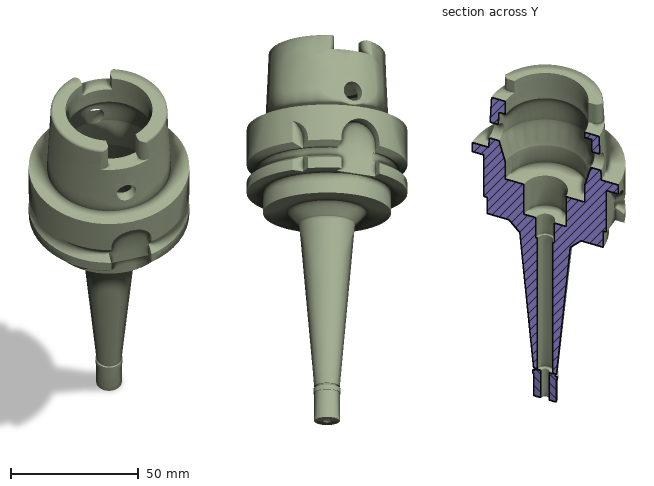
import cadquery as cq
import math


total_height = 152.0
shank_length = 31.9
flange_thickness = 26.0
hub_height = 8.2
cone_height = 4.9
nose_height = 14.1

flange_top = total_height - shank_length
flange_bottom = flange_top - flange_thickness
hub_bottom = flange_bottom - hub_height
neck_top = hub_bottom - cone_height

shank_tip_radius = 22.8
shank_base_radius = 24.3
flange_radius = 31.5
hub_radius = 25.1
cone_top_radius = 15.5
neck_top_radius = 11.0
neck_bottom_radius = 5.0

groove_radius = 27.4
groove_width = 3.6
groove_bottom = flange_bottom + 6.1
groove_top = groove_bottom + groove_width
groove_chamfer_depth = 3.0
groove_chamfer_height = groove_chamfer_depth * math.tan(math.radians(30))

mouth_radius = 17.0
mouth_depth = 12.9
chamber_radius = 19.9
chamber_depth = 26.1
chamber_cone_angle = 15
socket_depth = 45.6
chamber_cone_height = (chamber_radius - mouth_radius) / math.tan(math.radians(chamber_cone_angle))
chamber_bottom = total_height - chamber_depth
socket_floor = total_height - socket_depth

recess_radius = 9.0
recess_depth = 15.2
upper_bore_radius = 4.0
lower_bore_radius = 3.2

drive_slot_width = 12.2
shallow_slot_depth = 6.1
deep_slot_depth = 10.0
lug_corner_radius = 2.6
lug_face = 21.0
rim_fillet = 1.0

cross_hole_radius = 4.0
cross_hole_depth = 23.1

keyway_radius = 8.2
keyway_top_gap = 4.9
keyway_floor = 26.5
keyway_arc_height = flange_top - keyway_top_gap - keyway_radius
notch_floor = 19.9
notch_edge = 19.9

sleeve_radius = 5.0
sleeve_bore_radius = 1.7
ring_radius = 5.3
ring_bottom = 11.4
ring_top = 13.2
nose_neck_radius = 4.5


def revolve_profile(points):
    """Solid of revolution about Z from (radius, height) points."""
    return cq.Workplane("XZ").polyline(points).close().revolve(360, (0, 0, 0), (0, 1, 0))


def cylinder(radius, bottom, top):
    """Cylinder on the Z axis between two heights."""
    return cq.Workplane("XY").workplane(offset=bottom).circle(radius).extrude(top - bottom)


def holder_blank():
    """Solid turned outline of the holder, with the gripper groove."""
    chamfered_radius = flange_radius - groove_chamfer_depth
    return revolve_profile([
        (0, nose_height),
        (neck_bottom_radius, nose_height),
        (neck_top_radius, neck_top),
        (cone_top_radius, hub_bottom),
        (hub_radius, hub_bottom),
        (hub_radius, flange_bottom),
        (flange_radius, flange_bottom),
        (flange_radius, groove_bottom - groove_chamfer_height),
        (chamfered_radius, groove_bottom),
        (groove_radius, groove_bottom),
        (groove_radius, groove_top),
        (chamfered_radius, groove_top),
        (flange_radius, groove_top + groove_chamfer_height),
        (flange_radius, flange_top),
        (shank_base_radius, flange_top),
        (shank_tip_radius, total_height),
        (0, total_height),
    ])


def drive_slot(depth):
    """Slot cutter through the rim on the +X side, flaring out around the rounded lug corners."""
    half_width = drive_slot_width / 2
    arc_start = lug_face - lug_corner_radius
    arc_end = half_width + lug_corner_radius
    arc_offset = lug_corner_radius * (1 - math.sqrt(0.5))
    arc_middle = (lug_face - arc_offset, half_width + arc_offset)
    return (
        cq.Workplane("XY", origin=(0, 0, total_height - depth))
        .moveTo(0, -half_width)
        .lineTo(arc_start, -half_width)
        .threePointArc((arc_middle[0], -arc_middle[1]), (lug_face, -arc_end))
        .lineTo(lug_face, -shank_base_radius)
        .lineTo(shank_base_radius, -shank_base_radius)
        .lineTo(shank_base_radius, shank_base_radius)
        .lineTo(lug_face, shank_base_radius)
        .lineTo(lug_face, arc_end)
        .threePointArc(arc_middle, (arc_start, half_width))
        .lineTo(0, half_width)
        .close()
        .extrude(depth)
    )


def shank_hollow():
    """Socket with a wider chamber that tapers back in, and the stepped coolant passage below."""
    socket = cylinder(mouth_radius, socket_floor, total_height)
    chamber = revolve_profile([
        (0, chamber_bottom - chamber_cone_height),
        (mouth_radius, chamber_bottom - chamber_cone_height),
        (chamber_radius, chamber_bottom),
        (chamber_radius, total_height - mouth_depth),
        (0, total_height - mouth_depth),
    ])
    recess_floor = socket_floor - recess_depth
    recess = cylinder(recess_radius, recess_floor, socket_floor)
    upper_bore = cylinder(upper_bore_radius, neck_top, recess_floor)
    lower_bore = cylinder(lower_bore_radius, nose_height, neck_top)
    return socket.union(chamber).union(recess).union(upper_bore).union(lower_bore)


def cross_hole():
    """Hole along X through both shank walls."""
    return (
        cq.Workplane("YZ")
        .center(0, total_height - cross_hole_depth)
        .circle(cross_hole_radius)
        .extrude(flange_radius, both=True)
    )


def keyway(floor, centre_y):
    """Round-topped cutter open to +X and downwards to the flange underside."""
    return (
        cq.Workplane("YZ", origin=(floor, centre_y, 0))
        .moveTo(-keyway_radius, flange_bottom)
        .lineTo(-keyway_radius, keyway_arc_height)
        .threePointArc((0, keyway_arc_height + keyway_radius), (keyway_radius, keyway_arc_height))
        .lineTo(keyway_radius, flange_bottom)
        .close()
        .extrude(flange_radius - floor)
    )


def make_holder():
    body = holder_blank().faces(">Z").edges().fillet(rim_fillet)
    body = body.cut(drive_slot(deep_slot_depth)).cut(drive_slot(shallow_slot_depth).mirror("YZ"))
    body = body.cut(shank_hollow()).cut(cross_hole())
    key_cutter = keyway(keyway_floor, 0)
    notch_cutter = keyway(notch_floor, notch_edge + keyway_radius)
    body = body.cut(key_cutter).cut(key_cutter.mirror("YZ"))
    return body.cut(notch_cutter.mirror("YZ"))


def make_nose_sleeve():
    """Ringed sleeve below the neck, with a through bore."""
    return revolve_profile([
        (sleeve_bore_radius, 0),
        (sleeve_radius, 0),
        (sleeve_radius, ring_bottom),
        (ring_radius, ring_bottom),
        (ring_radius, ring_top),
        (nose_neck_radius, ring_top),
        (nose_neck_radius, nose_height),
        (sleeve_bore_radius, nose_height),
    ])


holder = make_holder()
nose_sleeve = make_nose_sleeve()

result = cq.Compound.makeCompound([holder.val(), nose_sleeve.val()])